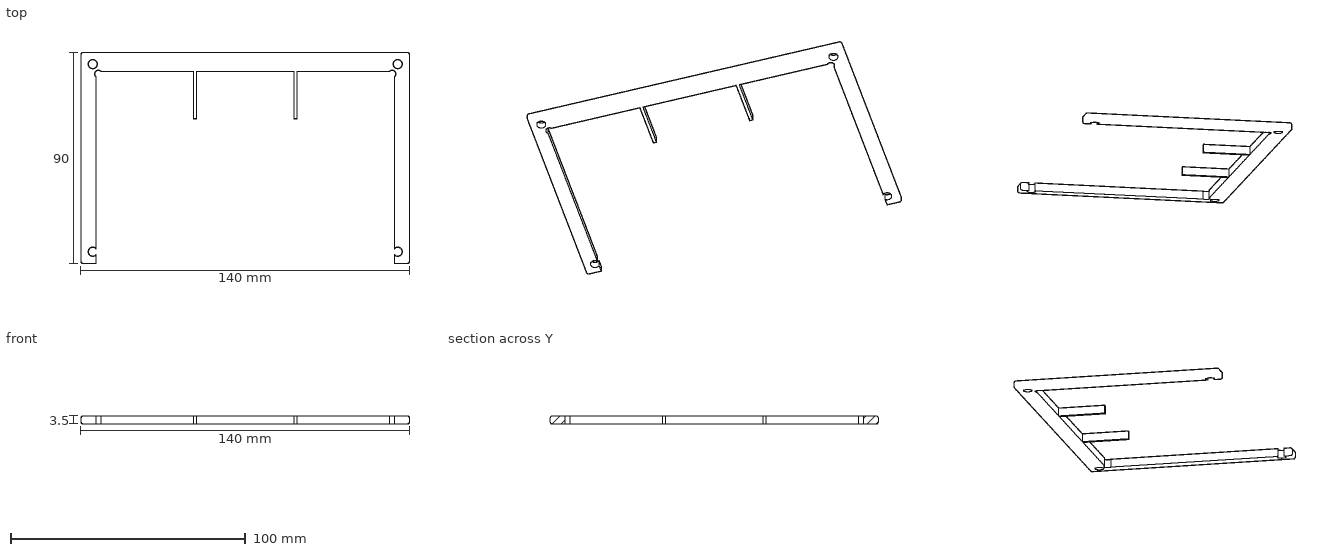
import cadquery as cq

length = 140.0
depth = 90.0
thickness = 3.5
leg_width = 6.5
beam_width = 8.3
edge_radius = 1.0

hole_diameter = 3.8
hole_x = 65.0
beam_hole_inset = 5.0
tip_hole_inset = 5.0

relief_radius = 1.5
relief_offset = 1.0

prong_spacing = 42.8
prong_width = 1.4
prong_reach = 28.4

back_y = depth / 2
front_y = -depth / 2
inner_x = length / 2 - leg_width
inner_y = back_y - beam_width


def vertical_cylinders(points, radius):
    return cq.Workplane("XY").pushPoints(points).circle(radius).extrude(thickness)


def make_frame():
    """Plate with rounded outer edges, cut open to leave a beam and two legs."""
    plate = cq.Workplane("XY").box(length, depth, thickness, centered=(True, True, False))
    plate = plate.edges().fillet(edge_radius)
    opening_depth = inner_y - front_y
    opening = (
        cq.Workplane("XY")
        .center(0, front_y + opening_depth / 2)
        .rect(2 * inner_x, opening_depth)
        .extrude(thickness)
    )
    return plate.cut(opening)


def make_prongs():
    """Two square-edged prongs, rooted inside the beam."""
    root_y = back_y - beam_width / 2
    tip_y = back_y - prong_reach
    return (
        cq.Workplane("XY")
        .pushPoints([(side * prong_spacing / 2, (root_y + tip_y) / 2) for side in (-1, 1)])
        .rect(prong_width, root_y - tip_y)
        .extrude(thickness)
    )


hole_points = []
relief_points = []
for side in (-1, 1):
    hole_points.append((side * hole_x, back_y - beam_hole_inset))
    hole_points.append((side * hole_x, front_y + tip_hole_inset))
    relief_points.append((side * (inner_x - relief_offset), inner_y - relief_offset))

result = (
    make_frame()
    .cut(vertical_cylinders(hole_points, hole_diameter / 2))
    .cut(vertical_cylinders(relief_points, relief_radius))
    .union(make_prongs())
)